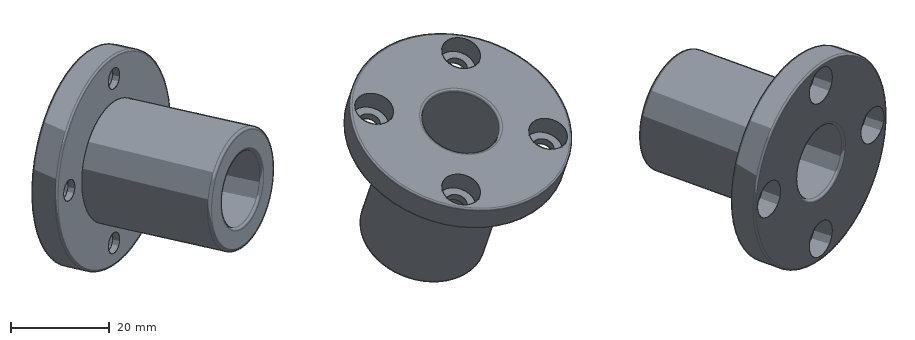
import cadquery as cq

flange_diameter = 46.0
flange_thickness = 6.03
sleeve_diameter = 26.0
total_length = 36.0
bore_diameter = 16.0

screw_count = 4
screw_circle_diameter = 36.0
screw_diameter = 4.5
counterbore_diameter = 8.0
counterbore_depth = 4.4

flange_round = 0.4
sleeve_round = 0.6
bore_round = 0.6


def cylinder(diameter, length):
    """Cylinder along +X that starts at the flange face."""
    return cq.Workplane("YZ").circle(diameter / 2).extrude(length)


def screw_holes(diameter, depth):
    """Ring of holes cut into the flange face."""
    return (
        cq.Workplane("YZ")
        .polarArray(screw_circle_diameter / 2, 0, 360, screw_count)
        .circle(diameter / 2)
        .extrude(depth)
    )


flange = cylinder(flange_diameter, flange_thickness).edges().fillet(flange_round)
sleeve = cylinder(sleeve_diameter, total_length).faces(">X").edges().fillet(sleeve_round)

body = flange.union(sleeve).cut(cylinder(bore_diameter, total_length))

bore_mouths = cq.selectors.RadiusNthSelector(0)
body = body.faces("<X or >X").edges(bore_mouths).fillet(bore_round)

result = body.cut(screw_holes(screw_diameter, flange_thickness))
result = result.cut(screw_holes(counterbore_diameter, counterbore_depth))